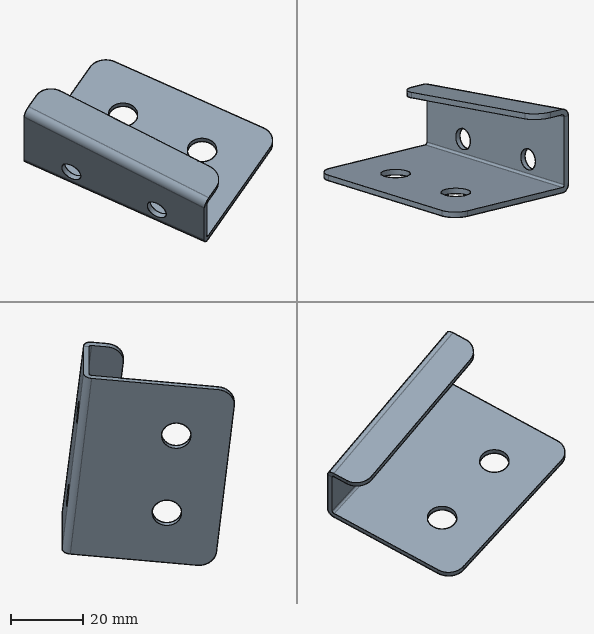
import cadquery as cq
import math

thickness = 1.6
outer_bend = 2.25
inner_bend = outer_bend - thickness
corner_radius = 5.0

length = 57.0
base_depth = 42.35
flange_depth = 11.6
total_height = 24.0
slope_angle = 5.0
turn_angle = 19.5

base_hole_diameter = 8.1
base_hole_spacing = 25.0
base_hole_offset = 27.4
wall_hole_diameter = 6.0
wall_hole_spacing = 27.0
wall_hole_height = 6.3

slope = math.radians(slope_angle)
wall_top_left = total_height - outer_bend * math.cos(slope)
wall_top_right = wall_top_left - length * math.tan(slope)


def bent_strip(depth, strip_length):
    """Quarter bend and flat leaf along X: wall edge at Z = 0, flat face on top."""
    flat_underside = outer_bend - thickness
    bend_diagonal = math.sqrt(0.5)
    outer_mid = outer_bend * bend_diagonal
    inner_mid = inner_bend * bend_diagonal
    strip = (
        cq.Workplane("YZ")
        .moveTo(0, 0)
        .threePointArc((outer_bend - outer_mid, outer_mid), (outer_bend, outer_bend))
        .lineTo(depth, outer_bend)
        .lineTo(depth, flat_underside)
        .lineTo(outer_bend, flat_underside)
        .threePointArc((outer_bend - inner_mid, inner_mid), (thickness, 0))
        .close()
        .extrude(strip_length)
    )
    return strip.faces(">Y").edges("|Z").fillet(corner_radius)


def hole_cutters(plane, spacing, offset, diameter, depth):
    """Pair of cylinders straddling mid-length."""
    centers = [(length / 2 + side * spacing / 2, offset) for side in (-1, 1)]
    return cq.Workplane(plane).pushPoints(centers).circle(diameter / 2).extrude(depth)


base = bent_strip(base_depth, length).mirror("XY").translate((0, 0, outer_bend))
base = base.cut(
    hole_cutters("XY", base_hole_spacing, base_hole_offset, base_hole_diameter, thickness)
)

wall = (
    cq.Workplane("XZ")
    .moveTo(0, outer_bend)
    .lineTo(length, outer_bend)
    .lineTo(length, wall_top_right)
    .lineTo(0, wall_top_left)
    .close()
    .extrude(-thickness)
)
wall = wall.cut(
    hole_cutters("XZ", wall_hole_spacing, wall_hole_height, wall_hole_diameter, -thickness)
)

flange = (
    bent_strip(flange_depth, length / math.cos(slope))
    .rotate((0, 0, 0), (0, 1, 0), slope_angle)
    .translate((0, 0, wall_top_left))
)

result = base.union(wall).union(flange).rotate((0, 0, 0), (0, 0, 1), turn_angle)